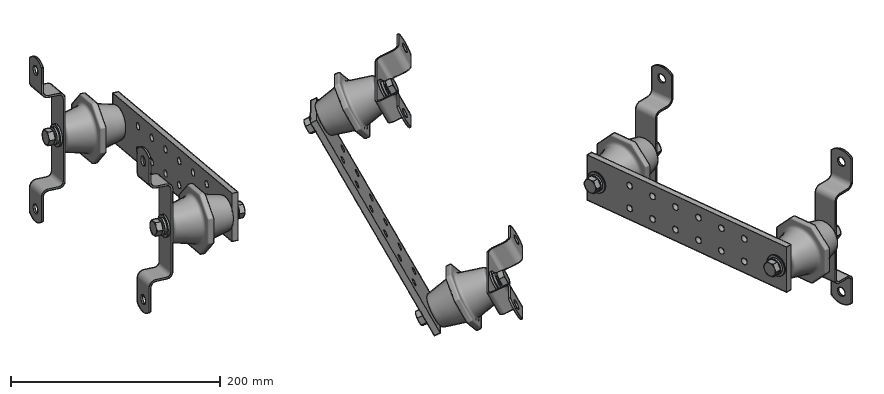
import cadquery as cq
import math


overall_length = 292.0
flange_across_flats = 63.5
insulator_x = (overall_length - flange_across_flats) / 2

insulator_length = 63.5
flange_sides = 8
flange_thickness = 6.5
flange_rounding = 1.8
cone_end_radius = 17.2
cone_root_radius = 24.0
cone_fillet = 3.2

shank_diameter = 9.5
head_sides = 6
head_across_flats = 14.3
head_height = 6.5
head_bevel = 0.5
washer_diameter = 22.2
lock_washer_diameter = 17.0
lock_washer_thickness = 2.3
front_washer_thickness = 2.0
front_head_gap = 1.8
back_washer_thickness = 1.5

bar_thickness = 6.5
bar_height = 50.8
bar_overhang = 12.5
bar_hole_diameter = 7.0
bar_hole_columns = 6
bar_hole_rows = 2
bar_hole_pitch_x = 29.2
bar_hole_pitch_z = 25.5

bracket_height = 172.5
bracket_width = 25.5
bracket_thickness = 2.0
bracket_depth = 25.5
bracket_run_inner_z = 48.2
web_bend_inner_radius = 4.7
foot_bend_inner_radius = 5.5
foot_tip_rise = 5.3
foot_hole_diameter = 9.5
foot_hole_z = 73.0

insulator_end = insulator_length / 2
bar_back = insulator_end + bar_thickness
bracket_web_back = -insulator_end
bracket_web_front = bracket_web_back - bracket_thickness
bracket_foot_front = bracket_web_back - bracket_depth


def disc(diameter, start, direction, length):
    """Cylinder about the Y axis, running from Y = start in the +Y (1) or -Y (-1) direction."""
    axis = cq.Vector(0, direction, 0)
    return cq.Workplane(cq.Solid.makeCylinder(diameter / 2, length, cq.Vector(0, start, 0), axis))


def make_cone(direction):
    """One tapered half of the insulator, rounded at its end."""
    cone = cq.Solid.makeCone(
        cone_root_radius,
        cone_end_radius,
        insulator_end - flange_thickness / 2,
        cq.Vector(0, direction * flange_thickness / 2, 0),
        cq.Vector(0, direction, 0),
    )
    end_face = ">Y" if direction > 0 else "<Y"
    return cq.Workplane(cone).faces(end_face).edges().fillet(cone_fillet)


def make_root_fillet(direction):
    """Ring that blends the cone into the flange with an arc tangent to both."""
    flange_face = flange_thickness / 2
    taper = math.atan2(cone_root_radius - cone_end_radius, insulator_end - flange_face)
    half_sweep = (math.pi / 2 - taper) / 2
    tangent_length = cone_fillet * math.tan(half_sweep)
    centre_radius = cone_root_radius + tangent_length
    centre_y = flange_face + cone_fillet
    middle_angle = taper + half_sweep

    def arc_point(angle):
        radius = centre_radius - cone_fillet * math.cos(angle)
        return radius, direction * (centre_y - cone_fillet * math.sin(angle))

    cone_tangent = arc_point(taper)
    return (
        cq.Workplane("XY")
        .moveTo(0, direction * flange_face)
        .lineTo(centre_radius, direction * flange_face)
        .threePointArc(arc_point(middle_angle), cone_tangent)
        .lineTo(0, cone_tangent[1])
        .close()
        .revolve(360, (0, 0, 0), (0, 1, 0))
    )


def make_flange():
    """Octagonal flange with every edge rounded and flats facing +X and +Z."""
    half_side_angle = 180 / flange_sides
    corner_diameter = flange_across_flats / math.cos(math.radians(half_side_angle))
    return (
        cq.Workplane("XZ")
        .transformed(rotate=(0, 0, half_side_angle))
        .polygon(flange_sides, corner_diameter)
        .extrude(flange_thickness / 2, both=True)
        .edges()
        .fillet(flange_rounding)
    )


def make_head(start, direction):
    """Hexagon bolt head with corners on the X axis, its outer corners trimmed by a cone."""
    corner_diameter = head_across_flats / math.cos(math.pi / head_sides)
    head = (
        cq.Workplane("XZ", origin=(0, start, 0))
        .polygon(head_sides, corner_diameter)
        .extrude(-direction * head_height)
    )
    outer_face = ">Y" if direction > 0 else "<Y"
    envelope = disc(corner_diameter, start, direction, head_height)
    trim = corner_diameter / 2 - head_across_flats / 2
    return head.intersect(envelope.faces(outer_face).chamfer(head_bevel, trim))


def make_bolt(seat, direction, washer_thickness, head_gap):
    """Shank, washer, lock washer and head of a bolt seated at Y = seat."""
    lock_washer_start = seat + direction * washer_thickness
    lock_washer_end = lock_washer_start + direction * lock_washer_thickness
    head_start = lock_washer_end + direction * head_gap
    return (
        disc(shank_diameter, 0, direction, abs(head_start))
        .union(disc(washer_diameter, seat, direction, washer_thickness))
        .union(disc(lock_washer_diameter, lock_washer_start, direction, lock_washer_thickness))
        .union(make_head(head_start, direction))
    )


def make_insulator(x):
    """Insulator with its two bolts, centred at the given X."""
    body = make_flange()
    for direction in (-1, 1):
        body = body.union(make_cone(direction)).union(make_root_fillet(direction))
    body = body.union(make_bolt(bracket_web_front, -1, front_washer_thickness, front_head_gap))
    body = body.union(make_bolt(bar_back, 1, back_washer_thickness, 0))
    return body.translate((x, 0, 0))


def make_busbar():
    """Flat bar with a grid of holes and one bolt hole at each end."""
    bar_length = 2 * (insulator_x + bar_overhang)
    bar = cq.Workplane("XZ", origin=(0, bar_back, 0)).rect(bar_length, bar_height).extrude(bar_thickness)
    grid_holes = (
        cq.Workplane("XZ", origin=(0, bar_back, 0))
        .rarray(bar_hole_pitch_x, bar_hole_pitch_z, bar_hole_columns, bar_hole_rows)
        .circle(bar_hole_diameter / 2)
        .extrude(bar_thickness)
    )
    bolt_holes = (
        cq.Workplane("XZ", origin=(0, bar_back, 0))
        .pushPoints([(-insulator_x, 0), (insulator_x, 0)])
        .circle(shank_diameter / 2)
        .extrude(bar_thickness)
    )
    return bar.cut(grid_holes).cut(bolt_holes)


def make_bracket_strip():
    """Constant-thickness cranked strip, bent the same way above and below Z = 0."""
    foot_back = bracket_foot_front + bracket_thickness
    run_outer_z = bracket_run_inner_z + bracket_thickness
    half_height = bracket_height / 2
    upper_half = (
        cq.Workplane("YZ")
        .moveTo(bracket_web_back, 0)
        .lineTo(bracket_web_back, run_outer_z)
        .lineTo(foot_back, run_outer_z)
        .lineTo(foot_back, half_height)
        .lineTo(bracket_foot_front, half_height)
        .lineTo(bracket_foot_front, bracket_run_inner_z)
        .lineTo(bracket_web_front, bracket_run_inner_z)
        .lineTo(bracket_web_front, 0)
        .close()
        .extrude(bracket_width / 2, both=True)
    )

    def bend_edge(y, z):
        return cq.selectors.NearestToPointSelector((0, y, z))

    web_bend_outer_radius = web_bend_inner_radius + bracket_thickness
    foot_bend_outer_radius = foot_bend_inner_radius + bracket_thickness
    upper_half = (
        upper_half.edges(bend_edge(bracket_web_back, run_outer_z))
        .fillet(web_bend_outer_radius)
        .edges(bend_edge(bracket_web_front, bracket_run_inner_z))
        .fillet(web_bend_inner_radius)
        .edges(bend_edge(foot_back, run_outer_z))
        .fillet(foot_bend_inner_radius)
        .edges(bend_edge(bracket_foot_front, bracket_run_inner_z))
        .fillet(foot_bend_outer_radius)
    )
    return upper_half.union(upper_half.mirror("XY"))


def make_bracket(x):
    """Cranked bracket with arched tips and three holes, centred at the given X."""
    half_width = bracket_width / 2
    tip_z = bracket_height / 2
    shoulder_z = tip_z - foot_tip_rise
    front_outline = (
        cq.Workplane("XZ")
        .moveTo(-half_width, -shoulder_z)
        .lineTo(-half_width, shoulder_z)
        .threePointArc((0, tip_z), (half_width, shoulder_z))
        .lineTo(half_width, -shoulder_z)
        .threePointArc((0, -tip_z), (-half_width, -shoulder_z))
        .close()
        .extrude(-bracket_foot_front)
    )
    foot_holes = (
        cq.Workplane("XZ")
        .pushPoints([(0, -foot_hole_z), (0, foot_hole_z)])
        .circle(foot_hole_diameter / 2)
        .extrude(-bracket_foot_front)
    )
    bolt_hole = disc(shank_diameter, 0, -1, -bracket_foot_front)
    bracket = make_bracket_strip().intersect(front_outline)
    return bracket.cut(foot_holes).cut(bolt_hole).translate((x, 0, 0))


busbar = make_busbar()
insulators = []
brackets = []
for side in (-1, 1):
    insulators.append(make_insulator(side * insulator_x).val())
    brackets.append(make_bracket(side * insulator_x).val())

result = cq.Compound.makeCompound([busbar.val(), *insulators, *brackets])